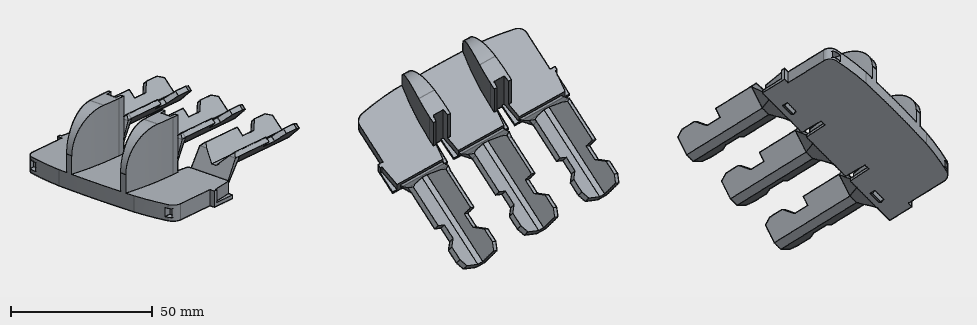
import cadquery as cq
import math


pitch = 25.1
contact_centers = (-pitch, 0, pitch)
slot_centers = (-pitch / 2, pitch / 2)
overlap = 0.4
cutter_depth = 2.9
clear = 44

base_thickness = 6.3
base_back = 31.8
body_half_width = 34.4
flange_half_width = 72.8 / 2
flange_front = 21.85
front_middle_half = 17.4
front_middle_rise = 0.33
front_corner_y = 3.0
front_side_bulge = 0.4
corner_radius = 3.6

lip_thickness = 1.5
slot_front = 23.3
slot_half_front = 1.1
slot_half_back = 1.3
upper_slot_half_front = 2.05
upper_slot_half_back = 3.15
side_step_front = 0.65
side_step_back = 1.8

pocket_inner_x = 30.3
left_pocket_opening_x = 29.6
pocket_outer_x = 32.9
pocket_bottom = 1.4
pocket_top = 4.85
pocket_mouth_y = 2.05
pocket_end_y = 4.8

fin_half_back = 3.5
fin_half_front = 1.2
fin_back = 25.8
fin_top = 28.5
fin_round_y = 0.2
fin_radius = 15.0

ridge_length = 5.05
ridge_half_base = 1.1
ridge_height = 0.9
ridge_y = 28.65

blade_thickness = 2.05
blade_tip = 73.3
blade_start = 39.3
floor_half = 1.0
floor_z = 8.8
wall_rise = 5.65
tip_chamfer = 1.2
tip_chamfer_y = 70.4
neck_inset = 2.6
neck_back_y = 64.85
neck_taper_y = 61.4
neck_front_y = 55.4

ramp_top_y = 38.3
ramp_shoulder_y = 37.1
ramp_shoulder_z = 13.0
ramp_toe_y = 33.2
ramp_toe_z = 5.65
ramp_foot_z = 4.25
ramp_bottom_z = 2.1
ramp_edge_height = 0.2
ramp_flare = 1.2
ramp_bottom_half = 6.6

edge_offset = blade_thickness / math.sqrt(2)
peak_x = floor_half + wall_rise
peak_z = floor_z + wall_rise
rim_x = peak_x + edge_offset
rim_z = peak_z - edge_offset
under_half = floor_half + blade_thickness * math.tan(math.radians(22.5))
under_z = floor_z - blade_thickness


def mirror_points(half):
    """Close an outline given by its +X half, running from bottom to top."""
    return half + [(-x, y) for x, y in reversed(half)]


def prism_y(points, y_start, y_end):
    """Extrude an XZ outline between two Y positions."""
    plane = cq.Workplane("XZ", origin=(0, y_start, 0))
    return plane.polyline(points).close().extrude(y_start - y_end)


def trapezoid(x, half_front, half_back, y_front, y_back, z_bottom, height):
    """Upright block whose width changes along Y."""
    corners = [
        (x - half_front, y_front),
        (x + half_front, y_front),
        (x + half_back, y_back),
        (x - half_back, y_back),
    ]
    return cq.Workplane("XY", origin=(0, 0, z_bottom)).polyline(corners).close().extrude(height)


def bowed_plate(thickness):
    """Plate with a bowed front edge and rounded front corners."""
    side_mid_x = (front_middle_half + body_half_width) / 2
    side_mid_y = (front_middle_rise + front_corner_y) / 2 - front_side_bulge
    plate = (
        cq.Workplane("XY")
        .moveTo(-front_middle_half, front_middle_rise)
        .threePointArc((0, 0), (front_middle_half, front_middle_rise))
        .threePointArc((side_mid_x, side_mid_y), (body_half_width, front_corner_y))
        .lineTo(body_half_width, base_back)
        .lineTo(-body_half_width, base_back)
        .lineTo(-body_half_width, front_corner_y)
        .threePointArc((-side_mid_x, side_mid_y), (-front_middle_half, front_middle_rise))
        .close()
        .extrude(thickness)
    )
    return plate.edges("|Z").edges("<X or >X").edges("<Y").fillet(corner_radius)


def make_base():
    body = bowed_plate(base_thickness)
    flange = cq.Workplane("XY").box(
        2 * flange_half_width, base_back - flange_front, base_thickness, centered=(True, False, False)
    )
    return body.union(flange.translate((0, flange_front, 0)))


def make_fin(x):
    """Tapering divider with a quarter-round upper front corner."""
    taper_length = slot_front
    narrowing = fin_half_back - fin_half_front
    side_radius = (taper_length**2 + narrowing**2) / (2 * narrowing)
    mid_y = taper_length / 2
    mid_half = fin_half_back - side_radius + math.sqrt(side_radius**2 - mid_y**2)
    plan = (
        cq.Workplane("XY", origin=(x, 0, base_thickness - overlap))
        .moveTo(fin_half_front, 0)
        .threePointArc((mid_half, mid_y), (fin_half_back, slot_front))
        .lineTo(fin_half_back, fin_back)
        .lineTo(-fin_half_back, fin_back)
        .lineTo(-fin_half_back, slot_front)
        .threePointArc((-mid_half, mid_y), (-fin_half_front, 0))
        .close()
        .extrude(fin_top - base_thickness + overlap)
    )
    arc_point = fin_radius * (1 - math.sqrt(0.5))
    profile = (
        cq.Workplane("YZ", origin=(x - fin_half_back, 0, 0))
        .moveTo(0, 0)
        .lineTo(0, fin_top - fin_radius)
        .lineTo(fin_round_y, fin_top - fin_radius)
        .threePointArc(
            (fin_round_y + arc_point, fin_top - arc_point),
            (fin_round_y + fin_radius, fin_top),
        )
        .lineTo(fin_back, fin_top)
        .lineTo(fin_back, 0)
        .close()
        .extrude(2 * fin_half_back)
    )
    return plan.intersect(profile).intersect(bowed_plate(fin_top))


def cut_slots(body):
    """Cut a narrow slot through the lip and a wider one above it, also through the fin."""
    for x in slot_centers:
        body = body.cut(
            trapezoid(x, slot_half_front, slot_half_back, slot_front, base_back, 0, base_thickness)
        )
        body = body.cut(
            trapezoid(
                x, upper_slot_half_front, upper_slot_half_back, slot_front, base_back, lip_thickness, clear
            )
        )
    return body


def cut_side_steps(body):
    """Taper the flange sides above the lip."""
    for side in (-1, 1):
        corners = [
            (side * clear, slot_front),
            (side * (flange_half_width - side_step_front), slot_front),
            (side * (flange_half_width - side_step_back), base_back),
            (side * clear, base_back),
        ]
        step = cq.Workplane("XY", origin=(0, 0, lip_thickness)).polyline(corners).close()
        body = body.cut(step.extrude(base_thickness))
    return body


def cut_pockets(body):
    """Cut a blind pocket into each rounded front corner."""
    for side, opening_x in ((-1, left_pocket_opening_x), (1, pocket_inner_x)):
        corners = [
            (side * pocket_outer_x, 0),
            (side * opening_x, 0),
            (side * opening_x, pocket_mouth_y),
            (side * pocket_inner_x, pocket_end_y),
            (side * pocket_outer_x, pocket_end_y),
        ]
        pocket = cq.Workplane("XY", origin=(0, 0, pocket_bottom)).polyline(corners).close()
        body = body.cut(pocket.extrude(pocket_top - pocket_bottom))
    return body


def make_ridge(x):
    corners = [
        (ridge_y - ridge_half_base, 0),
        (ridge_y, -ridge_height),
        (ridge_y + ridge_half_base, 0),
        (ridge_y + ridge_half_base, overlap),
        (ridge_y - ridge_half_base, overlap),
    ]
    plane = cq.Workplane("YZ", origin=(x - ridge_length / 2, 0, 0))
    return plane.polyline(corners).close().extrude(ridge_length)


def trough_cutter():
    """Space between the two blade walls, open upwards."""
    half = [(floor_half, floor_z), (floor_half + clear, floor_z + clear)]
    return prism_y(mirror_points(half), base_back, blade_tip)


def edge_cutter(side):
    """Trims the tip and neck of one wall square to the wall's face."""
    slant = math.sqrt(2)
    outline = [
        (-neck_inset * slant, neck_front_y),
        (-neck_inset * slant, neck_taper_y),
        (0, neck_back_y),
        (0, tip_chamfer_y),
        (-tip_chamfer * slant, blade_tip),
        (clear, blade_tip),
        (clear, neck_front_y),
    ]
    plane = cq.Plane(origin=(side * peak_x, 0, peak_z), xDir=(side, 0, 1), normal=(-1, 0, side))
    return cq.Workplane(plane).polyline(outline).close().extrude(cutter_depth, both=True)


def make_blade():
    half = [(under_half, under_z), (rim_x, rim_z), (peak_x, peak_z), (floor_half, floor_z)]
    blade = prism_y(mirror_points(half), blade_start, blade_tip)
    for side in (-1, 1):
        blade = blade.cut(edge_cutter(side))
    return blade


def make_ramp(left_flare, right_flare):
    """Sloping web that blends the trough into the flat back of the base."""
    left = -rim_x - left_flare
    right = rim_x + right_flare
    peak_inset = rim_x - peak_x
    upper = mirror_points([
        (under_half, under_z),
        (rim_x, rim_z - ramp_edge_height),
        (rim_x, rim_z),
        (peak_x, peak_z),
    ])
    lower = [
        (ramp_bottom_half, ramp_bottom_z),
        (right, ramp_bottom_z + ramp_edge_height),
        (right, rim_z),
        (right - peak_inset, peak_z),
        (left + peak_inset, peak_z),
        (left, rim_z),
        (left, ramp_bottom_z + ramp_edge_height),
        (-ramp_bottom_half, ramp_bottom_z),
    ]
    web = (
        cq.Workplane("XZ", origin=(0, blade_start, 0))
        .polyline(upper)
        .close()
        .workplane(offset=blade_start - base_back)
        .polyline(lower)
        .close()
        .loft(ruled=True)
    )
    ramp_side = [
        (base_back, ramp_foot_z),
        (ramp_toe_y, ramp_toe_z),
        (ramp_shoulder_y, ramp_shoulder_z),
        (ramp_top_y, peak_z),
        (ramp_top_y, clear),
        (base_back, clear),
    ]
    above_ramp = cq.Workplane("YZ", origin=(-clear, 0, 0)).polyline(ramp_side).close().extrude(2 * clear)
    return web.cut(above_ramp).cut(trough_cutter())


result = make_base()
for x in slot_centers:
    result = result.union(make_fin(x))
result = cut_slots(result)
result = cut_side_steps(result)
result = cut_pockets(result)
for x in (contact_centers[0], contact_centers[-1]):
    result = result.union(make_ridge(x))

for x in contact_centers:
    left_flare = 0 if x == contact_centers[0] else ramp_flare
    right_flare = 0 if x == contact_centers[-1] else ramp_flare
    contact = make_blade().union(make_ramp(left_flare, right_flare))
    result = result.union(contact.translate((x, 0, 0)))